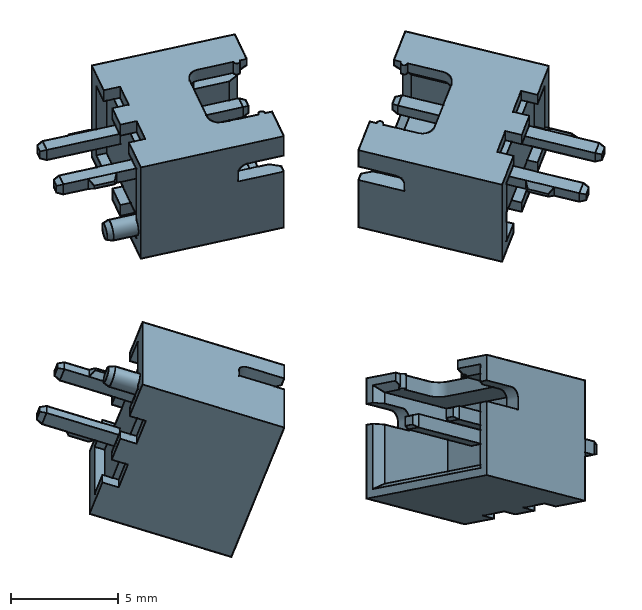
import cadquery as cq


HOUSING_WIDTH = 7.4
HOUSING_LENGTH = 7.0
HOUSING_HEIGHT = 5.75
WALL = 0.7
CAVITY_DEPTH = 4.99
CUT_MARGIN = 0.1

LEAD_IN_WIDTH = 0.3
LEAD_IN_DEPTH = 0.5

RECESS_DEPTH = 0.5
NOTCH_WIDTH = 1.3
NOTCH_DEPTH = 0.8

TOP_SLOT_WIDTH = 3.82
TOP_SLOT_DEPTH = 2.98
TOP_SLOT_RADIUS = 0.6
DETENT_RADIUS = 0.17
DETENT_FROM_MOUTH = 0.5

SIDE_SLOT_DEPTH = 2.24
SIDE_SLOT_HEIGHT = 1.0
SIDE_SLOT_RADIUS = 0.48
SIDE_SLOT_BELOW_TOP = 1.23

PEG_RADIUS = 0.5
PEG_LENGTH = 1.5
PEG_X = 2.86
PEG_Z = 1.4
PEG_CHAMFER_LENGTH = 0.28
PEG_CHAMFER_WIDTH = 0.1

OVERALL_LENGTH = 10.4
PIN_PITCH = 2.5
PIN_SIZE = 0.65
PIN_Z = 3.39
PIN_BELOW_MOUTH = 0.2
PIN_TIP_LENGTH = 0.3
PIN_TIP_INSET = 0.1

BARB_START = 0.5
BARB_LENGTH = 1.38
BARB_PROJECTION = 0.3
BARB_CREST_LENGTH = 1.0
BARB_CREST_HEIGHT = 0.2

CAVITY_WIDTH = HOUSING_WIDTH - 2 * WALL
CAVITY_HEIGHT = HOUSING_HEIGHT - 2 * WALL
MID_Z = HOUSING_HEIGHT / 2
PIN_TAIL_Y = HOUSING_LENGTH - OVERALL_LENGTH
PIN_HEAD_Y = HOUSING_LENGTH - PIN_BELOW_MOUTH


def box(x_size, y_start, y_end, z_start, z_end, x_centre=0):
    """Block centred on x_centre and spanning the given Y and Z ranges."""
    block = cq.Workplane("XY").box(x_size, y_end - y_start, z_end - z_start, centered=(True, False, False))
    return block.translate((x_centre, y_start, z_start))


def plane_facing_y(y, x=0, z=0):
    """Workplane at (x, y, z) whose normal is +Y and whose local axes are +Z and +X."""
    return cq.Workplane(cq.Plane(origin=(x, y, z), xDir=(0, 0, 1), normal=(0, 1, 0)))


def make_cavity():
    """Mating cavity with a sloped lead-in at the mouth."""
    floor_y = HOUSING_LENGTH - CAVITY_DEPTH
    cavity = box(CAVITY_WIDTH, floor_y, HOUSING_LENGTH, WALL, HOUSING_HEIGHT - WALL)
    lead_in = (
        plane_facing_y(HOUSING_LENGTH - LEAD_IN_DEPTH, z=MID_Z)
        .rect(CAVITY_HEIGHT, CAVITY_WIDTH)
        .workplane(offset=LEAD_IN_DEPTH)
        .rect(CAVITY_HEIGHT + 2 * LEAD_IN_WIDTH, CAVITY_WIDTH + 2 * LEAD_IN_WIDTH)
        .loft(ruled=True)
    )
    return cavity.union(lead_in)


def make_top_slot():
    """Round-cornered opening through the upper wall, open at the mouth."""
    slot = box(
        TOP_SLOT_WIDTH,
        HOUSING_LENGTH - TOP_SLOT_DEPTH,
        HOUSING_LENGTH + CUT_MARGIN,
        HOUSING_HEIGHT - WALL,
        HOUSING_HEIGHT + CUT_MARGIN,
    )
    return slot.edges("|Z and <Y").fillet(TOP_SLOT_RADIUS)


def make_detent(side):
    """Vertical ridge on one side (-1 or +1) of the top slot."""
    return (
        cq.Workplane("XY")
        .circle(DETENT_RADIUS)
        .extrude(WALL)
        .translate((side * TOP_SLOT_WIDTH / 2, HOUSING_LENGTH - DETENT_FROM_MOUTH, HOUSING_HEIGHT - WALL))
    )


def make_side_slot():
    """Slot through both side walls, rounded only at its upper inner corner."""
    top_z = HOUSING_HEIGHT - SIDE_SLOT_BELOW_TOP
    slot = box(
        HOUSING_WIDTH + 2 * CUT_MARGIN,
        HOUSING_LENGTH - SIDE_SLOT_DEPTH,
        HOUSING_LENGTH + CUT_MARGIN,
        top_z - SIDE_SLOT_HEIGHT,
        top_z,
    )
    return slot.edges("|X and <Y and >Z").fillet(SIDE_SLOT_RADIUS)


def make_notch(x, wall_bottom_z):
    """Notch through the upper or lower wall at the mounting face, in line with a pin."""
    return box(NOTCH_WIDTH, -CUT_MARGIN, NOTCH_DEPTH, wall_bottom_z, wall_bottom_z + WALL, x)


def make_peg():
    """Locating peg with a tapered tip, rooted in the floor of the recess."""
    peg = plane_facing_y(-PEG_LENGTH, PEG_X, PEG_Z).circle(PEG_RADIUS).extrude(PEG_LENGTH + RECESS_DEPTH)
    return peg.faces("<Y").chamfer(PEG_CHAMFER_LENGTH, PEG_CHAMFER_WIDTH)


def make_pin_bar(x):
    """Square pin with both ends tapered."""
    tip_size = PIN_SIZE - 2 * PIN_TIP_INSET
    shank_start = PIN_TAIL_Y + PIN_TIP_LENGTH
    shank_end = PIN_HEAD_Y - PIN_TIP_LENGTH
    bar = plane_facing_y(shank_start, x, PIN_Z).rect(PIN_SIZE, PIN_SIZE).extrude(shank_end - shank_start)
    for base_y, tip_step in ((shank_start, -PIN_TIP_LENGTH), (shank_end, PIN_TIP_LENGTH)):
        tip = (
            plane_facing_y(base_y, x, PIN_Z)
            .rect(PIN_SIZE, PIN_SIZE)
            .workplane(offset=tip_step)
            .rect(tip_size, tip_size)
            .loft(ruled=True)
        )
        bar = bar.union(tip)
    return bar


def make_barb(x, side):
    """Tapered barb on the side (-1 or +1) of the pin that faces away from the other pin."""
    root = cq.Plane(
        origin=(x + side * PIN_SIZE / 2, -BARB_START - BARB_LENGTH / 2, PIN_Z),
        xDir=(0, 1, 0),
        normal=(side, 0, 0),
    )
    return (
        cq.Workplane(root)
        .rect(BARB_LENGTH, PIN_SIZE)
        .workplane(offset=BARB_PROJECTION)
        .rect(BARB_CREST_LENGTH, BARB_CREST_HEIGHT)
        .loft(ruled=True)
    )


def make_pin(side):
    """Contact pin on the given side (-1 or +1) of the housing centre."""
    x = side * PIN_PITCH / 2
    return make_pin_bar(x).union(make_barb(x, side))


def make_housing():
    """Shrouded housing with its locating peg and square holes for the pins."""
    body = box(HOUSING_WIDTH, 0, HOUSING_LENGTH, 0, HOUSING_HEIGHT)
    body = body.cut(make_cavity())
    body = body.cut(box(CAVITY_WIDTH, -CUT_MARGIN, RECESS_DEPTH, WALL, HOUSING_HEIGHT - WALL))
    body = body.cut(make_top_slot()).cut(make_side_slot())
    for side in (-1, 1):
        pin_x = side * PIN_PITCH / 2
        body = body.union(make_detent(side))
        body = body.cut(make_notch(pin_x, 0)).cut(make_notch(pin_x, HOUSING_HEIGHT - WALL))
        body = body.cut(make_pin_bar(pin_x))
    return body.union(make_peg())


housing = make_housing()
pins = [make_pin(side) for side in (-1, 1)]

result = cq.Compound.makeCompound([housing.solids().val(), *[pin.solids().val() for pin in pins]])